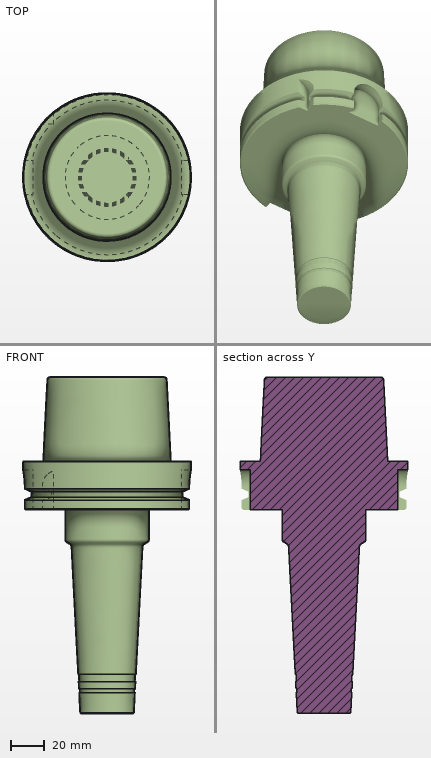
import cadquery as cq
import math

total_height = 200.0
flange_top = 150.0
flange_bottom = 121.0
collar_straight_end = 103.5
stem_top = 99.0

shank_base_radius = 38.0
shank_slope = 1 / 20
shank_rounding = 2.0

flange_radius = 50.0
flange_top_chamfer = 0.5
flange_bottom_chamfer = 0.8
groove_floor_radius = 46.0
groove_center = 130.2
groove_half_mouth = 3.5
groove_half_floor = 1.5

collar_radius = 25.0
shoulder_rounding = 2.0
shoulder_turn = math.radians(60)
nose_radius = 16.0
nose_chamfer = 0.5
stem_angle = 3.0

marking_bands = [(12.5, 14.8), (19.0, 23.2)]
band_depth = 0.5

slot_width = 20.0
drive_slot_floor = 44.0
slot_top = 144.8

notch_inner_wall = 31.8
notch_floor = 31.8


def stem_radius(z):
    return nose_radius + z * math.tan(math.radians(stem_angle))


def revolve_profile(profile):
    return profile.close().revolve(360, (0, 0, 0), (0, 1, 0))


def make_shank():
    top_radius = shank_base_radius - (total_height - flange_top) * shank_slope
    profile = (
        cq.Workplane("XZ")
        .moveTo(0, flange_top)
        .lineTo(shank_base_radius, flange_top)
        .lineTo(top_radius, total_height)
        .lineTo(0, total_height)
    )
    return revolve_profile(profile).faces(">Z").edges().fillet(shank_rounding)


def make_flange():
    flange = (
        cq.Workplane("XY", origin=(0, 0, flange_bottom))
        .circle(flange_radius)
        .extrude(flange_top - flange_bottom)
        .faces(">Z")
        .edges()
        .chamfer(flange_top_chamfer)
        .faces("<Z")
        .edges()
        .chamfer(flange_bottom_chamfer)
    )
    groove = (
        cq.Workplane("XZ")
        .moveTo(groove_floor_radius, groove_center - groove_half_floor)
        .lineTo(flange_radius, groove_center - groove_half_mouth)
        .lineTo(flange_radius, groove_center + groove_half_mouth)
        .lineTo(groove_floor_radius, groove_center + groove_half_floor)
    )
    return flange.cut(revolve_profile(groove))


def make_collar_and_stem():
    arc_rise = shoulder_rounding * math.sin(shoulder_turn)
    arc_run = shoulder_rounding * (1 - math.cos(shoulder_turn))
    mid_rise = shoulder_rounding * math.sin(shoulder_turn / 2)
    mid_run = shoulder_rounding * (1 - math.cos(shoulder_turn / 2))
    stem_end = stem_radius(stem_top)
    profile = (
        cq.Workplane("XZ")
        .lineTo(nose_radius - nose_chamfer, 0)
        .lineTo(stem_radius(nose_chamfer), nose_chamfer)
        .lineTo(stem_end, stem_top)
        .threePointArc(
            (stem_end + mid_run, stem_top + mid_rise),
            (stem_end + arc_run, stem_top + arc_rise),
        )
        .lineTo(
            collar_radius - arc_run,
            collar_straight_end - arc_rise,
        )
        .threePointArc(
            (
                collar_radius - mid_run,
                collar_straight_end - mid_rise,
            ),
            (collar_radius, collar_straight_end),
        )
        .lineTo(collar_radius, flange_bottom)
        .lineTo(0, flange_bottom)
    )
    return revolve_profile(profile)


def make_marking_band(bottom, top):
    profile = (
        cq.Workplane("XZ")
        .moveTo(stem_radius(bottom) - band_depth, bottom)
        .lineTo(collar_radius, bottom)
        .lineTo(collar_radius, top)
        .lineTo(stem_radius(top) - band_depth, top)
    )
    return revolve_profile(profile)


def make_slot_cutter(floor, center_y):
    """Round-topped cutter open at the flange bottom, removing everything beyond x = -floor."""
    radius = slot_width / 2
    spring_height = slot_top - radius
    return (
        cq.Workplane("YZ", origin=(-floor, 0, 0))
        .moveTo(center_y - radius, flange_bottom)
        .lineTo(center_y - radius, spring_height)
        .threePointArc((center_y, slot_top), (center_y + radius, spring_height))
        .lineTo(center_y + radius, flange_bottom)
        .close()
        .extrude(-flange_radius)
    )


result = make_shank().union(make_flange()).union(make_collar_and_stem())

for band_bottom, band_top in marking_bands:
    result = result.cut(make_marking_band(band_bottom, band_top))

drive_slot = make_slot_cutter(drive_slot_floor, 0)
result = result.cut(drive_slot).cut(drive_slot.mirror("YZ"))

notch_center = notch_inner_wall + slot_width / 2
result = result.cut(make_slot_cutter(notch_floor, notch_center))